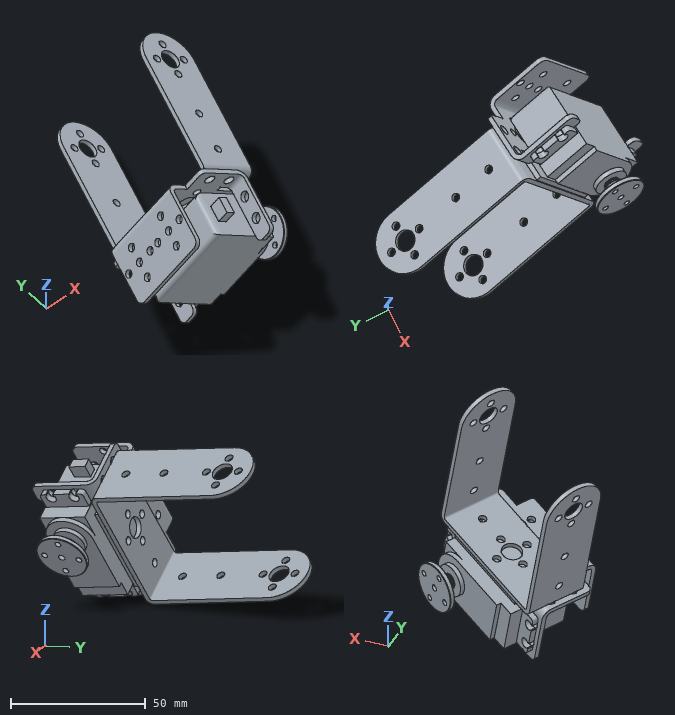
import cadquery as cq
import math


TILT_X = 9.18
TILT_Y = 34.87
TILT_Z = -10.08

SHEET = 2.0
BOLT_CIRCLE = 14.0
SMALL_HOLE = 3.1
HUB_HOLE = 8.0

FORK_SPAN = 55.9
FORK_WIDTH = 25.0
FORK_CENTRE_X = -6.4
FORK_HUB_Y = 52.9
FORK_ARM_HOLES_Y = (10.6, 27.3)
FORK_BASE_HOLE_Z = 18.6
FORK_BEND = 1.0
DRILL_LENGTH = 3 * SHEET

CASE_LENGTH = 40.9
CASE_DEPTH = 19.8
CASE_CENTRE_Y = -14.5
CASE_BOTTOM_X = -20.8
CASE_SHOULDER_X = 8.1
CASE_TOP_X = 10.1
CASE_ROUND = 2.1
STEP_LENGTH = 6.2
LUG_SPAN = 54.1
LUG_DEPTH = 18.8
LUG_THICKNESS = 2.5
LUG_ROUND = 1.4
LUG_SLOT = 3.0
LUG_HOLE = 4.1
LEAD_X = -16.9
LEAD_HEIGHT = 3.9
LEAD_WIDTH = 7.1
LEAD_LENGTH = 5.4
COLLAR_RADIUS = 6.5
COLLAR_TOP_X = 12.0
SPLINE_RADIUS = 3.0
SPLINE_ROOT_RADIUS = 2.8
SPLINE_TEETH = 25

MOUNT_BEND = 2.1
MOUNT_BEND_OUTER = MOUNT_BEND + SHEET
MOUNT_PLATE_X = -32.4
MOUNT_PLATE_WIDTH = 38.0
MOUNT_FRONT_Y = -28.0
MOUNT_PLATE_ROUND = 3.0
MOUNT_SPAN = 58.0
WING_X = -22.8
WING_ROUND = 2.1
TAB_WIDTH = 8.0
TAB_ROUND = 2.5
PLATE_PATTERN_Z = 9.5
MOUNT_SCREW_Z = 25.2
MOUNT_SCREW_PITCH = 10.0
MOUNT_SCREW_HOLE = 4.1
WING_HOLES_X = -10.9
RELIEF_END_X = -6.9
BASE_PATTERN_X = -16.4
BASE_PATTERN_Z = 10.4

HORN_HUB_X = 13.8
HORN_HUB_RADIUS = 4.0
HORN_DISC_X = 17.3
HORN_DISC_THICKNESS = 2.0
HORN_RADIUS = 10.0
HORN_HOLE = 2.3
HORN_SCREW_HOLE = 2.5
HORN_TURN = -12.0
HORN_CHAMFER = 0.2

SHAFT_Z = CASE_LENGTH / 2 - CASE_DEPTH / 2


def block(x_range, y_range, z_range):
    """Box between the given limits."""
    size = [high - low for low, high in (x_range, y_range, z_range)]
    return cq.Workplane("XY").box(*size, centered=False).translate((x_range[0], y_range[0], z_range[0]))


def rod(axis, diameter, centre, length):
    """Cylinder along the axis "X", "Y" or "Z", with its middle at the given centre."""
    direction = cq.Vector(*(1 if name == axis else 0 for name in "XYZ"))
    start = cq.Vector(*centre) - direction * (length / 2)
    return cq.Workplane(cq.Solid.makeCylinder(diameter / 2, length, start, direction))


def drill(body, axis, diameter, centres, length=DRILL_LENGTH):
    """Holes of one diameter through a sheet at the given centres."""
    for centre in centres:
        body = body.cut(rod(axis, diameter, centre, length))
    return body


def cross(axis, centre, radius):
    """Four points around a centre, on the two directions square to the axis."""
    across = [i for i, name in enumerate("XYZ") if name != axis]
    points = []
    for direction in across:
        for sign in (-1, 1):
            point = list(centre)
            point[direction] += sign * radius
            points.append(tuple(point))
    return points


def make_fork():
    """U-shaped bracket whose two round-ended arms run along +Y."""
    half_span = FORK_SPAN / 2
    half_width = FORK_WIDTH / 2
    low_x = FORK_CENTRE_X - half_width
    high_x = FORK_CENTRE_X + half_width
    arm_end_y = FORK_HUB_Y + half_width
    fork = block((low_x, high_x), (0, FORK_HUB_Y), (-half_span, half_span))
    fork = fork.union(rod("Z", FORK_WIDTH, (FORK_CENTRE_X, FORK_HUB_Y, 0), FORK_SPAN))
    fork = fork.edges("|X and <Y").fillet(FORK_BEND + SHEET)
    channel = block(
        (low_x, high_x), (SHEET, arm_end_y), (SHEET - half_span, half_span - SHEET)
    )
    fork = fork.cut(channel.edges("|X and <Y").fillet(FORK_BEND))

    for side in (-1, 1):
        arm_z = side * (half_span - SHEET / 2)
        hub = (FORK_CENTRE_X, FORK_HUB_Y, arm_z)
        fork = drill(fork, "Z", HUB_HOLE, [hub])
        fork = drill(fork, "Z", SMALL_HOLE, cross("Z", hub, BOLT_CIRCLE / 2))
        fork = drill(fork, "Z", SMALL_HOLE, [(FORK_CENTRE_X, y, arm_z) for y in FORK_ARM_HOLES_Y])

    hub = (FORK_CENTRE_X, SHEET / 2, 0)
    fork = drill(fork, "Y", HUB_HOLE, [hub])
    fork = drill(fork, "Y", SMALL_HOLE, cross("Y", hub, BOLT_CIRCLE / 2))
    outer = [(FORK_CENTRE_X, SHEET / 2, side * FORK_BASE_HOLE_Z) for side in (-1, 1)]
    return drill(fork, "Y", SMALL_HOLE, outer)


def bent_flange(face_x, direction, z_range):
    """L-shaped sheet: a base strip on Y = 0 and a flange towards -Y whose outer face is at face_x."""
    width = z_range[1] - z_range[0]
    root_x = face_x - direction * MOUNT_BEND_OUTER
    bend_y = -MOUNT_BEND_OUTER
    corner = math.sqrt(0.5)
    outer_mid = (root_x + direction * MOUNT_BEND_OUTER * corner, bend_y * (1 - corner))
    inner_mid = (root_x + direction * MOUNT_BEND * corner, bend_y + MOUNT_BEND * corner)
    return (
        cq.Workplane("XY", origin=(0, 0, z_range[0]))
        .moveTo(root_x, 0)
        .threePointArc(outer_mid, (face_x, bend_y))
        .lineTo(face_x, MOUNT_FRONT_Y)
        .lineTo(face_x - direction * SHEET, MOUNT_FRONT_Y)
        .lineTo(face_x - direction * SHEET, bend_y)
        .threePointArc(inner_mid, (root_x, -SHEET))
        .close()
        .extrude(width)
    )


def make_mount():
    """Servo bracket: base sheet, a drilled plate under the servo and two tabs behind its lugs."""
    half_plate = MOUNT_PLATE_WIDTH / 2
    half_span = MOUNT_SPAN / 2
    plate_root_x = MOUNT_PLATE_X + MOUNT_BEND_OUTER
    tab_root_x = -MOUNT_BEND_OUTER

    plate = bent_flange(MOUNT_PLATE_X, -1, (-half_plate, half_plate))
    plate = plate.edges("|X and <Y").fillet(MOUNT_PLATE_ROUND)
    wings = block((WING_X, tab_root_x), (-SHEET, 0), (-half_span, half_span))
    wings = wings.edges("|Y and <X").fillet(WING_ROUND)
    mount = plate.union(block((plate_root_x, tab_root_x), (-SHEET, 0), (-half_plate, half_plate)))
    mount = mount.union(wings)

    tab_inner_z = half_span - TAB_WIDTH
    base_end_x = MOUNT_PLATE_X + MOUNT_PLATE_WIDTH
    mount = mount.union(block((tab_root_x, base_end_x), (-SHEET, 0), (-half_plate, half_plate)))
    for side in (-1, 1):
        z_range = sorted((side * half_span, side * (half_span - TAB_WIDTH)))
        tab = bent_flange(0, 1, z_range)
        mount = mount.union(tab.edges("|X and <Y").fillet(TAB_ROUND))
        relief_z = sorted((side * half_plate, side * tab_inner_z))
        mount = mount.cut(block((RELIEF_END_X, tab_root_x), (-SHEET, 0), relief_z))

        plate_x = MOUNT_PLATE_X + SHEET / 2
        hub = (plate_x, CASE_CENTRE_Y, side * PLATE_PATTERN_Z)
        mount = drill(mount, "X", SMALL_HOLE, [hub, *cross("X", hub, BOLT_CIRCLE / 2)])
        base_hub = (BASE_PATTERN_X, -SHEET / 2, side * BASE_PATTERN_Z)
        mount = drill(mount, "Y", HUB_HOLE, [base_hub])
        mount = drill(mount, "Y", SMALL_HOLE, cross("Y", base_hub, BOLT_CIRCLE / 2))
        for shift in (-MOUNT_SCREW_PITCH / 2, MOUNT_SCREW_PITCH / 2):
            screw_z = side * MOUNT_SCREW_Z
            mount = drill(mount, "X", MOUNT_SCREW_HOLE, [(-SHEET / 2, CASE_CENTRE_Y + shift, screw_z)])
            mount = drill(mount, "Y", MOUNT_SCREW_HOLE, [(WING_HOLES_X + shift, -SHEET / 2, screw_z)])
    return mount


def make_servo():
    """Servo: case, slotted lugs, lead boot, shaft collar and splined shaft."""
    half_length = CASE_LENGTH / 2
    y_range = (CASE_CENTRE_Y - CASE_DEPTH / 2, CASE_CENTRE_Y + CASE_DEPTH / 2)
    case = block((CASE_BOTTOM_X, CASE_SHOULDER_X), y_range, (-half_length, half_length))
    case = case.faces("<X").edges().fillet(CASE_ROUND)

    top = block((CASE_SHOULDER_X, CASE_TOP_X), y_range, (STEP_LENGTH - half_length, SHAFT_Z))
    rise = CASE_TOP_X - CASE_SHOULDER_X
    round_end = rod("X", CASE_DEPTH, ((CASE_SHOULDER_X + CASE_TOP_X) / 2, CASE_CENTRE_Y, SHAFT_Z), rise)
    servo = case.union(top).union(round_end)

    lug_range = (0, LUG_THICKNESS)
    lug_y = (CASE_CENTRE_Y - LUG_DEPTH / 2, CASE_CENTRE_Y + LUG_DEPTH / 2)
    lugs = block(lug_range, lug_y, (-LUG_SPAN / 2, LUG_SPAN / 2))
    lugs = lugs.edges("|X").fillet(LUG_ROUND)
    servo = servo.union(lugs)
    for side in (-1, 1):
        for shift in (-MOUNT_SCREW_PITCH / 2, MOUNT_SCREW_PITCH / 2):
            slot_y = CASE_CENTRE_Y + shift
            z_range = sorted((side * MOUNT_SCREW_Z, side * LUG_SPAN / 2))
            servo = servo.cut(block(lug_range, (slot_y - LUG_SLOT / 2, slot_y + LUG_SLOT / 2), z_range))
            servo = drill(servo, "X", LUG_HOLE, [(LUG_THICKNESS / 2, slot_y, side * MOUNT_SCREW_Z)])

    lead_y = (CASE_CENTRE_Y - LEAD_WIDTH / 2, CASE_CENTRE_Y + LEAD_WIDTH / 2)
    servo = servo.union(
        block((LEAD_X, LEAD_X + LEAD_HEIGHT), lead_y, (half_length, half_length + LEAD_LENGTH))
    )

    collar_height = COLLAR_TOP_X - CASE_TOP_X
    collar_x = CASE_TOP_X + collar_height / 2
    servo = servo.union(rod("X", 2 * COLLAR_RADIUS, (collar_x, CASE_CENTRE_Y, SHAFT_Z), collar_height))

    outline = []
    for i in range(2 * SPLINE_TEETH):
        radius = SPLINE_RADIUS if i % 2 == 0 else SPLINE_ROOT_RADIUS
        angle = math.pi * i / SPLINE_TEETH
        outline.append((radius * math.cos(angle), radius * math.sin(angle)))
    shaft = cq.Workplane("YZ", origin=(COLLAR_TOP_X, CASE_CENTRE_Y, SHAFT_Z)).polyline(outline).close()
    return servo.union(shaft.extrude(HORN_HUB_X - COLLAR_TOP_X))


def make_horn():
    """Round horn on the end of the servo shaft."""
    end_x = HORN_DISC_X + HORN_DISC_THICKNESS
    face = cq.Workplane("YZ", origin=(HORN_HUB_X, CASE_CENTRE_Y, SHAFT_Z))
    horn = face.circle(HORN_HUB_RADIUS).extrude(end_x - HORN_HUB_X)
    disc = cq.Workplane("YZ", origin=(HORN_DISC_X, CASE_CENTRE_Y, SHAFT_Z))
    rim = disc.circle(HORN_RADIUS).extrude(HORN_DISC_THICKNESS)
    horn = horn.union(rim.edges().chamfer(HORN_CHAMFER))
    horn = horn.cut(face.circle(HORN_SCREW_HOLE / 2).extrude(end_x - HORN_HUB_X))
    holes = disc.polarArray(BOLT_CIRCLE / 2, HORN_TURN, 360, 4).circle(HORN_HOLE / 2)
    return horn.cut(holes.extrude(HORN_DISC_THICKNESS))


def tilt(body):
    """Turn a body from the local frame into its final attitude."""
    origin = (0, 0, 0)
    return (
        body.rotate(origin, (1, 0, 0), TILT_X)
        .rotate(origin, (0, 1, 0), TILT_Y)
        .rotate(origin, (0, 0, 1), TILT_Z)
    )


fork = tilt(make_fork())
mount = tilt(make_mount())
servo = tilt(make_servo())
horn = tilt(make_horn())

result = cq.Compound.makeCompound([fork.val(), mount.val(), servo.val(), horn.val()])